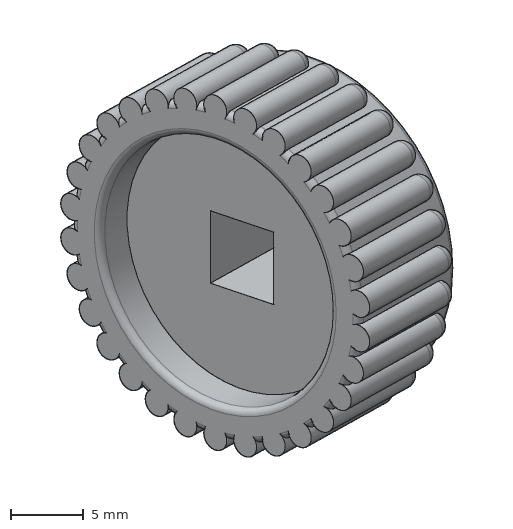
import cadquery as cq
import math

body_diameter = 25.0
body_depth = 10.8
edge_radius = 0.5

rib_count = 30
rib_radius = 1.0
rib_length = 9.8
rib_pitch_radius = body_diameter / 2

recess_diameter = 20.0
recess_depth = 3.0
square_side = 5.5


def cylinder_along_y(diameter, length):
    """Cylinder centred on the Y axis, running from Y = 0 to Y = length."""
    return cq.Workplane("XZ").circle(diameter / 2).extrude(-length)


def grip_rib():
    """One rib at the top of the body: a straight bar with a ball closing its rear end."""
    bar_length = rib_length - rib_radius
    bar = cylinder_along_y(2 * rib_radius, bar_length)
    ball = cq.Workplane("XY").sphere(rib_radius).translate((0, bar_length, 0))
    return bar.union(ball).translate((0, 0, rib_pitch_radius))


def recess_cutter():
    """Round recess whose mouth flares out in a quarter-round to the front face."""
    bore_radius = recess_diameter / 2
    arc_inset = edge_radius * (1 - math.cos(math.radians(45)))
    profile = (
        cq.Workplane("XY")
        .lineTo(bore_radius + edge_radius, 0)
        .threePointArc((bore_radius + arc_inset, arc_inset), (bore_radius, edge_radius))
        .lineTo(bore_radius, recess_depth)
        .lineTo(0, recess_depth)
        .close()
    )
    return profile.revolve(360, (0, 0, 0), (0, 1, 0))


knob = cylinder_along_y(body_diameter, body_depth).edges().fillet(edge_radius)

rib = grip_rib()
for index in range(rib_count):
    angle = index * 360 / rib_count
    knob = knob.union(rib.rotate((0, 0, 0), (0, 1, 0), angle))

knob = knob.cut(recess_cutter())
square_hole = cq.Workplane("XZ").rect(square_side, square_side).extrude(-body_depth)
result = knob.cut(square_hole)